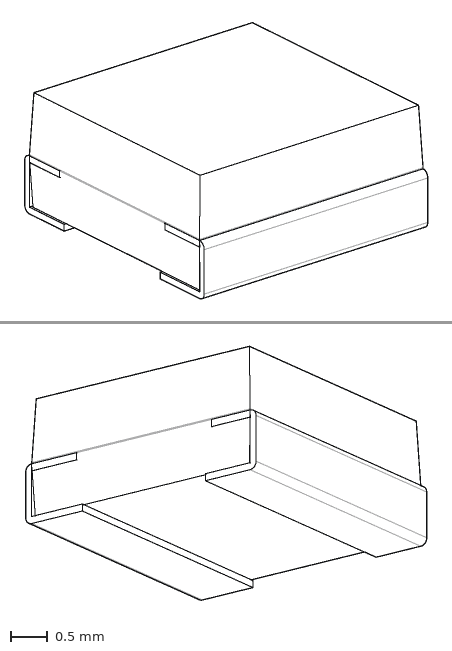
import cadquery as cq
import math

LENGTH = 3.9
WIDTH = 3.9
HEIGHT = 1.8
DRAFT_SLOPE = math.tan(math.radians(2.7))

THICKNESS = 0.1
BEND_RADIUS = THICKNESS
TERMINAL_TOP = 0.86
LEFT_FOOT_LENGTH = 0.858
RIGHT_FOOT_LENGTH = 0.96
ARM_SETBACK = 0.1

HOUSING_LENGTH = LENGTH - 2 * THICKNESS
HOUSING_BOTTOM = THICKNESS
BELT_HEIGHT = 0.015
BELT_TOP = TERMINAL_TOP + BELT_HEIGHT


def draft_inset(height):
    """Inward shift of a drafted wall over the given height."""
    return height * DRAFT_SLOPE


def tapered_block(belt_length, start_z, end_z):
    """Frustum that narrows on all sides from the belt at start_z towards end_z."""
    shrink = 2 * draft_inset(abs(end_z - start_z))
    return (
        cq.Workplane("XY", origin=(0, 0, start_z))
        .rect(belt_length, WIDTH)
        .workplane(offset=end_z - start_z)
        .rect(belt_length - shrink, WIDTH - shrink)
        .loft(ruled=True, combine=True)
    )


def make_terminal(side, foot_length):
    """C-shaped strip on the -X (side = -1) or +X (side = 1) end."""
    foot_tip_x = side * (LENGTH / 2 - foot_length)
    arm_tip_x = foot_tip_x + side * ARM_SETBACK
    outer_x = side * LENGTH / 2
    inner_x = side * HOUSING_LENGTH / 2
    arm_bottom = TERMINAL_TOP - THICKNESS
    strip = (
        cq.Workplane("XZ")
        .moveTo(foot_tip_x, 0)
        .lineTo(outer_x, 0)
        .lineTo(outer_x, TERMINAL_TOP)
        .lineTo(arm_tip_x, TERMINAL_TOP)
        .lineTo(arm_tip_x, arm_bottom)
        .lineTo(inner_x, arm_bottom)
        .lineTo(inner_x, THICKNESS)
        .lineTo(foot_tip_x, THICKNESS)
        .close()
        .extrude(WIDTH / 2, both=True)
    )
    outer_face = "<X" if side < 0 else ">X"
    strip = strip.faces(outer_face).edges("|Y").fillet(BEND_RADIUS)

    for end in (-1, 1):
        wall_y = end * WIDTH / 2
        trim = (
            cq.Workplane("YZ", origin=(arm_tip_x, 0, 0))
            .moveTo(wall_y, TERMINAL_TOP)
            .lineTo(wall_y, arm_bottom)
            .lineTo(wall_y - end * draft_inset(THICKNESS), arm_bottom)
            .close()
            .extrude(inner_x - arm_tip_x)
        )
        strip = strip.cut(trim)
    return strip


def make_housing(terminals):
    """Double-drafted block with recesses for the terminal arms."""
    belt = (
        cq.Workplane("XY", origin=(0, 0, TERMINAL_TOP))
        .rect(HOUSING_LENGTH, WIDTH)
        .extrude(BELT_HEIGHT)
    )
    upper = tapered_block(HOUSING_LENGTH, BELT_TOP, HEIGHT)
    lower = tapered_block(HOUSING_LENGTH, TERMINAL_TOP, HOUSING_BOTTOM)
    block = belt.union(upper).union(lower)
    for terminal in terminals:
        block = block.cut(terminal)
    return block


terminals = [make_terminal(-1, LEFT_FOOT_LENGTH), make_terminal(1, RIGHT_FOOT_LENGTH)]
housing = make_housing(terminals)

result = cq.Compound.makeCompound(
    [housing.solids().val(), *[terminal.solids().val() for terminal in terminals]]
)